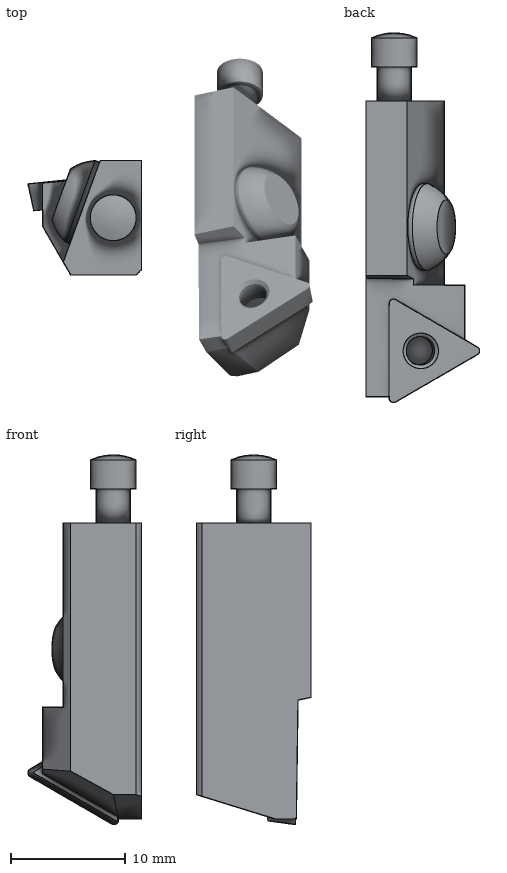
import cadquery as cq
import math


holder_depth = 10.0
holder_top_z = 26.35
left_face_x = -8.65
front_corner_x = -6.2
left_slope_angle = 60.0
edge_chamfer = 0.5
cutter_size = 64.58

clamp_face_angle = 70.0
clamp_face_back_x = -3.62
shelf_z = 10.27

underside_z = 0.52
front_bevel_z = 2.6
front_bevel_slope = 0.31
relief_z = 1.25
relief_slope_x = -0.55
relief_slope_y = -0.275

insert_inscribed_diameter = 5.55
insert_thickness = 2.4
insert_clearance_angle = 7.0
insert_nose_radius = 0.4
insert_lean = 5.5
insert_roll = 0.8
insert_nose_x = -9.95
insert_centre_y = 8.45
insert_hole_diameter = 2.5
insert_hole_mouth_diameter = 3.1

seat_drop = 0.13
seat_wall_back_z = 11.1
seat_wall_angle = 12.0

clamp_head_diameter = 7.6
clamp_flat_diameter = 4.75
clamp_rim_height = 0.42
clamp_head_height = 2.2
clamp_centre_y = 6.3
clamp_centre_z = 15.35

pin_x = -2.5
pin_neck_diameter = 3.0
pin_head_diameter = 4.0
pin_head_z = 29.32
pin_dome_z = 31.85
pin_top_z = 32.3

insert_half_width = insert_inscribed_diameter / 2
insert_half_side = insert_half_width * math.sqrt(3)
lean_slope = math.tan(math.radians(insert_lean))
roll_slope = math.tan(math.radians(insert_roll))
nose_distance = insert_inscribed_diameter - insert_nose_radius
insert_centre_x = insert_nose_x + nose_distance * math.cos(math.radians(insert_lean))
insert_centre_z = insert_half_side - insert_nose_radius * (math.sqrt(3) - 1)

insert_top_plane = cq.Plane(
    origin=(insert_centre_x, insert_centre_y, insert_centre_z),
    xDir=(1, lean_slope, 0),
    normal=(-lean_slope, 1, -roll_slope),
)

clamp_slope = math.tan(math.radians(clamp_face_angle))
clamp_centre_x = clamp_face_back_x - (holder_depth - clamp_centre_y) / clamp_slope
clamp_plane = cq.Plane(
    origin=(clamp_centre_x, clamp_centre_y, clamp_centre_z),
    xDir=(0, 0, 1),
    normal=(-clamp_slope, 1, 0),
)


def make_insert_blank():
    """Tapered triangle with rounded corners, without its hole."""
    core_half_width = insert_half_width - insert_nose_radius
    core_half_side = core_half_width * math.sqrt(3)
    blank = (
        cq.Workplane("XY")
        .polyline([
            (-2 * core_half_width, 0),
            (core_half_width, -core_half_side),
            (core_half_width, core_half_side),
        ])
        .close()
        .offset2D(insert_nose_radius)
        .extrude(insert_thickness, taper=insert_clearance_angle)
        .mirror("XY")
    )
    return cq.Workplane(blank.val().moved(cq.Location(insert_top_plane)))


def make_insert(blank):
    mouth_depth = (insert_hole_mouth_diameter - insert_hole_diameter) / 2
    hole = (
        cq.Workplane(insert_top_plane)
        .circle(insert_hole_diameter / 2)
        .extrude(-insert_thickness)
    )
    mouth = (
        cq.Workplane(insert_top_plane)
        .circle(insert_hole_mouth_diameter / 2)
        .workplane(offset=-mouth_depth)
        .circle(insert_hole_diameter / 2)
        .loft()
    )
    return blank.cut(hole).cut(mouth)


def make_holder_prism():
    left_corner_y = (front_corner_x - left_face_x) * math.tan(math.radians(left_slope_angle))
    return (
        cq.Workplane("XY", origin=(0, 0, underside_z))
        .polyline([
            (front_corner_x, 0),
            (-edge_chamfer, 0),
            (0, edge_chamfer),
            (0, holder_depth),
            (left_face_x, holder_depth),
            (left_face_x, left_corner_y),
        ])
        .close()
        .extrude(holder_top_z - underside_z)
    )


def make_half_space(plane):
    """Large block that starts on a plane and fills the side its normal points to."""
    return cq.Workplane(plane).rect(cutter_size, cutter_size).extrude(cutter_size)


def make_clamp_face_cutter():
    above_shelf = cq.Plane(origin=(0, 0, shelf_z), normal=(0, 0, 1))
    return make_half_space(clamp_plane).intersect(make_half_space(above_shelf))


def make_seat_cutter():
    wall_slope = math.tan(math.radians(seat_wall_angle))
    below_wall = cq.Plane(
        origin=(0, holder_depth, seat_wall_back_z),
        xDir=(1, 0, 0),
        normal=(0, wall_slope, -1),
    )
    seat_plane = cq.Plane(
        origin=insert_top_plane.origin - insert_top_plane.zDir * seat_drop,
        xDir=insert_top_plane.xDir,
        normal=insert_top_plane.zDir,
    )
    return make_half_space(seat_plane).intersect(make_half_space(below_wall))


def make_front_bevel_cutter():
    return make_half_space(
        cq.Plane(origin=(0, 0, front_bevel_z), xDir=(1, 0, 0), normal=(0, -front_bevel_slope, -1))
    )


def make_relief_cutter():
    return make_half_space(
        cq.Plane(origin=(0, 0, relief_z), xDir=(0, 1, relief_slope_y),
                 normal=(relief_slope_x, relief_slope_y, -1))
    )


def make_clamp_head():
    """Short rim and a spherical shoulder up to a flat top."""
    rim_radius = clamp_head_diameter / 2
    flat_radius = clamp_flat_diameter / 2
    sphere_height = (
        flat_radius**2 + clamp_head_height**2 - rim_radius**2 - clamp_rim_height**2
    ) / (2 * (clamp_head_height - clamp_rim_height))
    sphere_radius = math.hypot(rim_radius, clamp_rim_height - sphere_height)
    middle_height = (clamp_rim_height + clamp_head_height) / 2
    middle_radius = math.sqrt(sphere_radius**2 - (middle_height - sphere_height) ** 2)
    head = (
        cq.Workplane("XZ")
        .lineTo(rim_radius, 0)
        .lineTo(rim_radius, clamp_rim_height)
        .threePointArc((middle_radius, middle_height), (flat_radius, clamp_head_height))
        .lineTo(0, clamp_head_height)
        .close()
        .revolve(360, (0, 0, 0), (0, 1, 0))
    )
    return cq.Workplane(head.val().moved(cq.Location(clamp_plane)))


def make_pin():
    """Neck and wider head with a shallow spherical dome."""
    neck_radius = pin_neck_diameter / 2
    head_radius = pin_head_diameter / 2
    dome_height = pin_top_z - pin_dome_z
    dome_radius = (head_radius**2 + dome_height**2) / (2 * dome_height)
    middle_radius = head_radius / 2
    middle_z = pin_top_z - dome_radius + math.sqrt(dome_radius**2 - middle_radius**2)
    return (
        cq.Workplane("XZ")
        .moveTo(0, holder_top_z)
        .lineTo(neck_radius, holder_top_z)
        .lineTo(neck_radius, pin_head_z)
        .lineTo(head_radius, pin_head_z)
        .lineTo(head_radius, pin_dome_z)
        .threePointArc((middle_radius, middle_z), (0, pin_top_z))
        .close()
        .revolve(360, (0, 0, 0), (0, 1, 0))
        .translate((pin_x, holder_depth / 2, 0))
    )


def make_holder(insert_blank):
    return (
        make_holder_prism()
        .cut(make_clamp_face_cutter())
        .cut(make_seat_cutter())
        .cut(make_front_bevel_cutter())
        .cut(make_relief_cutter())
        .cut(insert_blank)
        .union(make_clamp_head())
        .union(make_pin())
    )


insert_blank = make_insert_blank()
insert = make_insert(insert_blank)
holder = make_holder(insert_blank)

result = cq.Compound.makeCompound([*holder.solids().vals(), *insert.solids().vals()])